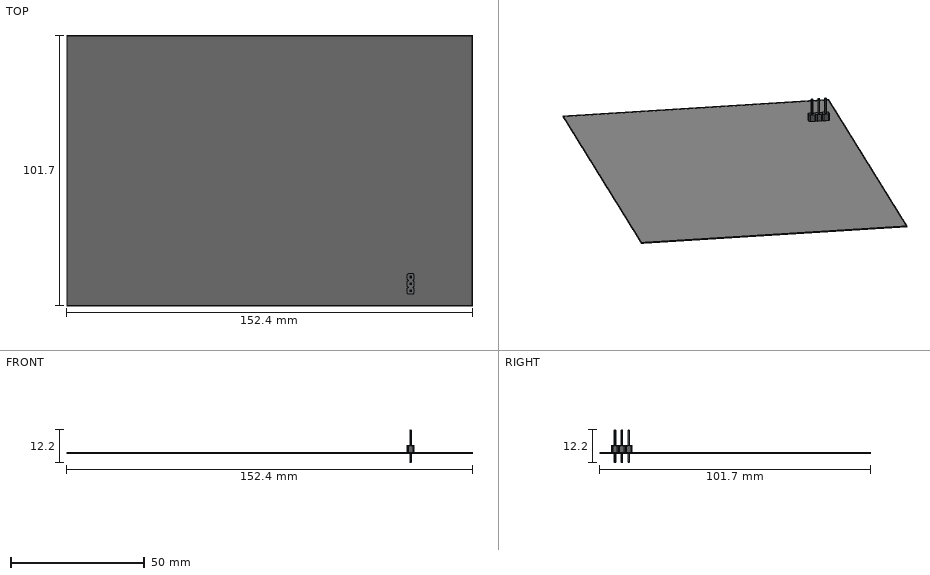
import cadquery as cq

board_length = 152.4
board_width = 101.7
board_thickness = 0.35

pin_count = 3
pitch = 2.6
pin_side = 0.6
pin_length = 12.2
pin_tip_chamfer = 0.2
pin_below_board = 3.4
block_height = pitch
block_chamfer = 0.5

header_x = 53.0
header_y = -42.5
pin_positions = [
    (header_x, header_y + (index - (pin_count - 1) / 2) * pitch) for index in range(pin_count)
]


def make_pin(x, y):
    """Square pin with tapered tips, passing through the board."""
    return (
        cq.Workplane("XY", origin=(x, y, -pin_below_board))
        .rect(pin_side, pin_side)
        .extrude(pin_length)
        .faces("<Z or >Z")
        .chamfer(pin_tip_chamfer)
    )


def make_block(x, y):
    """Octagonal insulator segment around one pin, standing on the board."""
    return (
        cq.Workplane("XY", origin=(x, y, board_thickness))
        .rect(pitch, pitch)
        .extrude(block_height)
        .edges("|Z")
        .chamfer(block_chamfer)
    )


def make_header():
    """Insulator segments in a row, carrying their pins as one solid."""
    header = cq.Workplane("XY")
    for x, y in pin_positions:
        header = header.union(make_block(x, y)).union(make_pin(x, y))
    return header


def make_board():
    """Thin rectangular board with a fitting square hole for each pin."""
    board = cq.Workplane("XY").rect(board_length, board_width).extrude(board_thickness)
    holes = (
        cq.Workplane("XY")
        .pushPoints(pin_positions)
        .rect(pin_side, pin_side)
        .extrude(board_thickness)
    )
    return board.cut(holes)


board = make_board()
header = make_header()

result = cq.Compound.makeCompound([board.val(), *header.solids().vals()])